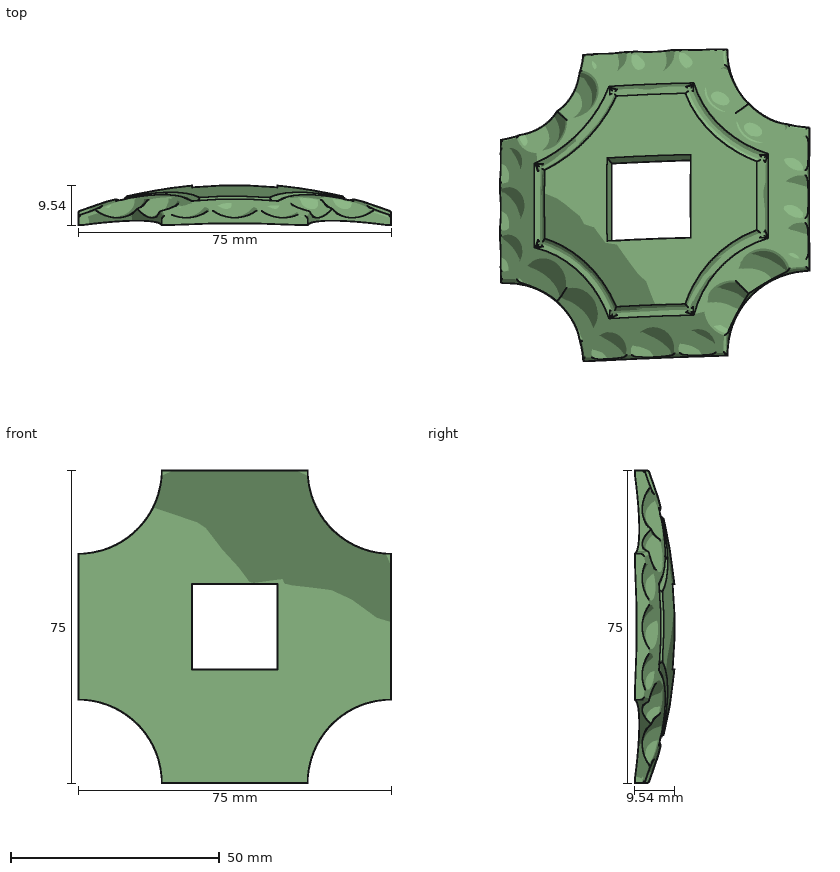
import cadquery as cq
import math

width = 75.0
half_width = width / 2
bite_radius = 20.0
hole_side = 20.4
overall_depth = 9.54

dome_radius = 110.0
dome_rim_radius = hole_side / 2
hollow_radius = 265.0
hollow_rim_radius = 40.2

groove_half_width = 27.45
groove_bite_radius = 29.8
groove_section_radius = 1.7
groove_section_lift = 1.0
groove_overrun = 0.9

scoop_radius = 9.0
scoop_bottom = 1.7
scoop_pitch = 11.6
scoop_overhang = 0.9
bite_scoop_angle = 17.2
rim_fillet = 0.75

dome_apex = overall_depth + dome_radius - math.sqrt(dome_radius**2 - dome_rim_radius**2)
dome_center = dome_apex - dome_radius
hollow_center = -math.sqrt(hollow_radius**2 - hollow_rim_radius**2)
blank_depth = 2 * overall_depth
bite_middle = math.radians(225)
quarter_turns = (0, 90, 180, 270)


def ball(radius, x, y, z):
    return cq.Workplane("XY").sphere(radius).translate((x, y, z))


def blank():
    """Bitten square prism along Y, trimmed by the dome and the hollow."""
    prism = cq.Workplane("XZ").rect(width, width).extrude(-blank_depth)
    bites = (
        cq.Workplane("XZ")
        .rect(width, width, forConstruction=True)
        .vertices()
        .circle(bite_radius)
        .extrude(-blank_depth)
    )
    dome = ball(dome_radius, 0, dome_center, 0)
    hollow = ball(hollow_radius, 0, hollow_center, 0)
    return prism.cut(bites).intersect(dome).cut(hollow)


def scoops():
    """Balls that cut three scoops per straight side and two per bite."""
    height = scoop_bottom + scoop_radius
    balls = []
    for turn in quarter_turns:
        for step in (-1, 0, 1):
            scoop = ball(scoop_radius, step * scoop_pitch, height, half_width + scoop_overhang)
            balls.append(scoop.rotate((0, 0, 0), (0, 1, 0), turn))
        for side in (-1, 1):
            angle = bite_middle + side * math.radians(bite_scoop_angle)
            reach = bite_radius - scoop_overhang
            x = half_width + reach * math.cos(angle)
            z = half_width + reach * math.sin(angle)
            balls.append(ball(scoop_radius, x, height, z).rotate((0, 0, 0), (0, 1, 0), turn))
    return balls


def groove_point(x, z):
    """Point of the groove's centre line above (x, z)."""
    height = math.sqrt((dome_radius + groove_section_lift) ** 2 - x**2 - z**2)
    return cq.Vector(x, dome_center + height, z)


def bite_groove_point(angle):
    """Point of the centre line around one bite, at an angle about the plate's corner."""
    x = half_width + groove_bite_radius * math.cos(angle)
    z = half_width + groove_bite_radius * math.sin(angle)
    return groove_point(x, z)


def groove():
    """Round pipes along the sides and bites, run past their joints to form mitres."""
    side = groove_half_width
    side_inset = half_width - side
    side_end = half_width - math.sqrt(groove_bite_radius**2 - side_inset**2) + groove_overrun
    straight = cq.Edge.makeThreePointArc(
        groove_point(side, -side_end), groove_point(side, 0), groove_point(side, side_end)
    )
    bite_span = math.radians(45) - math.asin(side_inset / groove_bite_radius)
    bite_span += groove_overrun / groove_bite_radius
    bite = cq.Edge.makeThreePointArc(
        bite_groove_point(bite_middle - bite_span),
        bite_groove_point(bite_middle),
        bite_groove_point(bite_middle + bite_span),
    )
    pipes = []
    for path in (straight, bite):
        section = cq.Workplane(cq.Plane(origin=path.startPoint(), normal=path.tangentAt(0)))
        pipe = section.circle(groove_section_radius).sweep(cq.Wire.assembleEdges([path]))
        for turn in quarter_turns:
            pipes.append(pipe.rotate((0, 0, 0), (0, 1, 0), turn))
    return pipes


def square_hole():
    return cq.Workplane("XZ").rect(hole_side, hole_side).extrude(-blank_depth)


def round_rim(plate):
    """Fillet every edge of the dome; of all faces only the hollow is larger."""
    second_largest = cq.selectors.AreaNthSelector(-2)
    return plate.faces(second_largest).edges().fillet(rim_fillet)


body = blank()
for scoop in scoops():
    body = body.cut(scoop)
body = round_rim(body)
for pipe in groove():
    body = body.cut(pipe)
result = body.cut(square_hole())